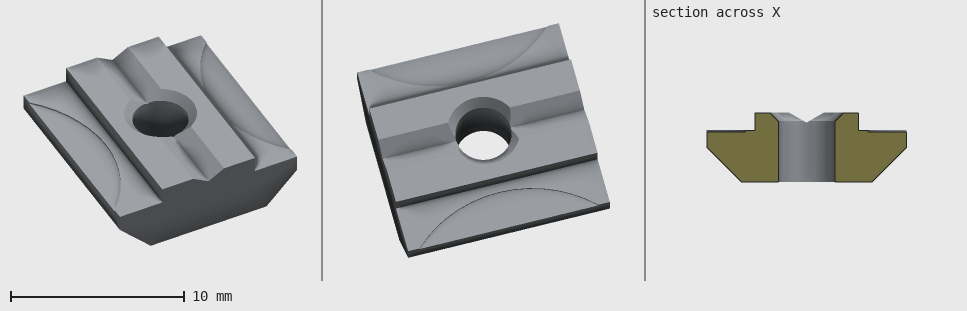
import cadquery as cq
import math

length = 12
width = 11.5
height = 4.0

base_width = 7.5
rib_width = 6
step = 1.0
flange_top = height - step
flange_bottom = flange_top - step
groove_width = 2.0
groove_depth = groove_width / 2 * math.tan(math.radians(30))

hole_diameter = 3.24
countersink_diameter = 4.2
countersink_angle = 90

relief_radius = 7.5
relief_reach = 2.22
relief_depth = 0.1


def make_profile_body():
    """Extrude the symmetric cross-section, including its V-groove."""
    right_side = [
        (base_width / 2, 0),
        (width / 2, flange_bottom),
        (width / 2, flange_top),
        (rib_width / 2, flange_top),
        (rib_width / 2, height),
        (groove_width / 2, height),
    ]
    left_side = [(-y, z) for y, z in reversed(right_side)]
    outline = right_side + [(0, height - groove_depth)] + left_side
    return cq.Workplane("YZ").polyline(outline).close().extrude(length / 2, both=True)


def cut_hole(body):
    """Cut the through hole and its countersink from the rib top."""
    return (
        body.faces(">Z")
        .workplane(origin=(0, 0, height))
        .cskHole(hole_diameter, countersink_diameter, countersink_angle)
    )


def cut_relief(body, side):
    """Cut the circular segment into the flange on the given Y side."""
    centre_y = side * (width / 2 - relief_reach + relief_radius)
    cutter = (
        cq.Workplane("XY", origin=(0, centre_y, flange_top - relief_depth))
        .circle(relief_radius)
        .extrude(relief_depth)
    )
    return body.cut(cutter)


result = cut_hole(make_profile_body())
for side in (-1, 1):
    result = cut_relief(result, side)